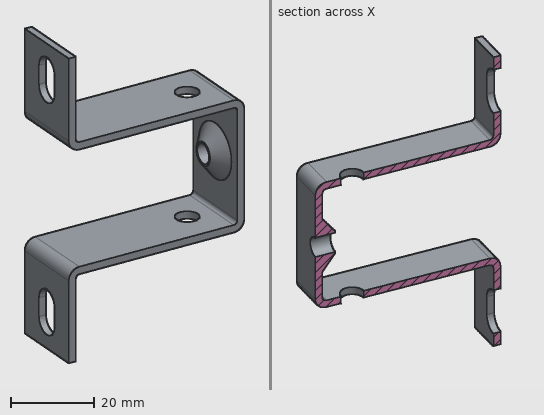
import cadquery as cq

width = 20.0
depth = 50.0
height = 81.25

thickness = 2.0
inner_bend_radius = 1.0
outer_bend_radius = inner_bend_radius + thickness
channel_height = 35.3

slot_width = 7.0
slot_length = 12.0
slot_spacing = 61.9
arm_hole_diameter = 6.0
arm_hole_from_back = 10.0

boss_base_diameter = 14.8
boss_tip_diameter = 6.25
boss_height = 3.4
boss_hole_diameter = 5.3

front = -depth / 2
back = depth / 2
web_face = back - thickness
flange_face = front + thickness
top = height / 2
arm_outer = channel_height / 2
arm_inner = arm_outer - thickness


def make_strip():
    """Hat-shaped strip with equal bend radii at all four corners."""
    upper_outline = [
        (front, top),
        (flange_face, top),
        (flange_face, arm_outer),
        (back, arm_outer),
    ]
    lower_outline = [(y, -z) for y, z in reversed(upper_outline)]
    inner_outline = [
        (front, -arm_inner),
        (web_face, -arm_inner),
        (web_face, arm_inner),
        (front, arm_inner),
    ]
    strip = (
        cq.Workplane("YZ")
        .polyline(upper_outline + lower_outline + inner_outline)
        .close()
        .extrude(width / 2, both=True)
    )
    bends = [
        (back, arm_outer, outer_bend_radius),
        (web_face, arm_inner, inner_bend_radius),
        (front, arm_inner, outer_bend_radius),
        (flange_face, arm_outer, inner_bend_radius),
    ]
    for y, z, radius in bends:
        for corner in [(0, y, z), (0, y, -z)]:
            strip = strip.edges("|X").edges(cq.NearestToPointSelector(corner)).fillet(radius)
    return strip


def make_boss():
    """Cone frustum standing on the web and narrowing toward the front."""
    profile = [
        (0, web_face),
        (boss_base_diameter / 2, web_face),
        (boss_tip_diameter / 2, web_face - boss_height),
        (0, web_face - boss_height),
    ]
    return cq.Workplane("XY").polyline(profile).close().revolve(360, (0, 0), (0, 1))


def make_boss_hole():
    """Straight hole through the boss and the web."""
    return (
        cq.Workplane("XZ", origin=(0, back, 0))
        .circle(boss_hole_diameter / 2)
        .extrude(thickness + boss_height)
    )


def make_flange_slots():
    """Upright slots, one through each mounting flange."""
    return (
        cq.Workplane("XZ", origin=(0, flange_face, 0))
        .pushPoints([(0, slot_spacing / 2), (0, -slot_spacing / 2)])
        .slot2D(slot_length, slot_width, 90)
        .extrude(thickness)
    )


def make_arm_holes():
    """Vertical hole in line through both arms."""
    return (
        cq.Workplane("XY")
        .center(0, back - arm_hole_from_back)
        .circle(arm_hole_diameter / 2)
        .extrude(arm_outer, both=True)
    )


result = (
    make_strip()
    .union(make_boss())
    .cut(make_boss_hole())
    .cut(make_flange_slots())
    .cut(make_arm_holes())
)